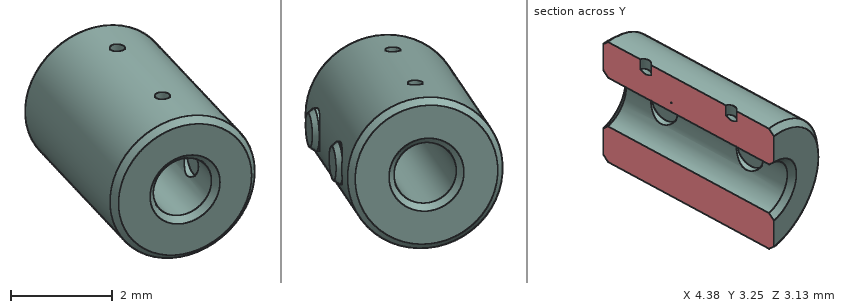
import cadquery as cq

LENGTH = 4.38
BODY_DIAMETER = 3.125
BORE_DIAMETER = 1.253
EDGE_CHAMFER = 0.125
STATION_OFFSET = LENGTH / 4

SCREW_DIAMETER = 0.86
SCREW_TIP_RECESS = 0.045
BORE_OPENING_DIAMETER = 0.675
SCREW_CHAMFER_RADIAL = 0.09
SCREW_CHAMFER_AXIAL = 0.12
LEFT_SCREW_PROTRUSION = 0.1
RIGHT_SCREW_PROTRUSION = 0.125

MARK_DIAMETER = 0.302
MARK_DEPTH = 0.263
MARK_TIP_HEIGHT = 0.088

body_radius = BODY_DIAMETER / 2
bore_radius = BORE_DIAMETER / 2


def make_sleeve():
    """Tube with equal chamfers on the outer and bore rims."""
    end = LENGTH / 2
    tube = (
        cq.Workplane("YZ", origin=(-end, 0, 0))
        .circle(body_radius)
        .circle(bore_radius)
        .extrude(LENGTH)
    )
    return tube.faces("<X or >X").edges().chamfer(EDGE_CHAMFER)


def make_screw(x, protrusion):
    """Screw pointing along +Y, embedded in the wall and tapered at its outer end."""
    radius = SCREW_DIAMETER / 2
    base = bore_radius + SCREW_TIP_RECESS
    top = body_radius + protrusion
    return (
        cq.Workplane("XY")
        .moveTo(0, base)
        .lineTo(radius, base)
        .lineTo(radius, top - SCREW_CHAMFER_AXIAL)
        .lineTo(radius - SCREW_CHAMFER_RADIAL, top)
        .lineTo(0, top)
        .close()
        .revolve(360, (0, 0), (0, 1))
        .translate((x, 0, 0))
    )


def make_bore_opening_cutter(x):
    """Radial hole at the inner end of a screw, opening into the bore."""
    return (
        cq.Workplane("XZ", origin=(x, 0, 0))
        .circle(BORE_OPENING_DIAMETER / 2)
        .extrude(-body_radius)
    )


def make_mark_cutter(x):
    """Drill shape entering from +Z, ending in a cone."""
    radius = MARK_DIAMETER / 2
    shoulder = body_radius - MARK_DEPTH
    return (
        cq.Workplane("XZ")
        .moveTo(0, shoulder - MARK_TIP_HEIGHT)
        .lineTo(radius, shoulder)
        .lineTo(radius, body_radius)
        .lineTo(0, body_radius)
        .close()
        .revolve(360, (0, 0), (0, 1))
        .translate((x, 0, 0))
    )


result = make_sleeve()
for x, protrusion in (
    (-STATION_OFFSET, LEFT_SCREW_PROTRUSION),
    (STATION_OFFSET, RIGHT_SCREW_PROTRUSION),
):
    result = result.cut(make_bore_opening_cutter(x))
    result = result.union(make_screw(x, protrusion))
    result = result.cut(make_mark_cutter(x))